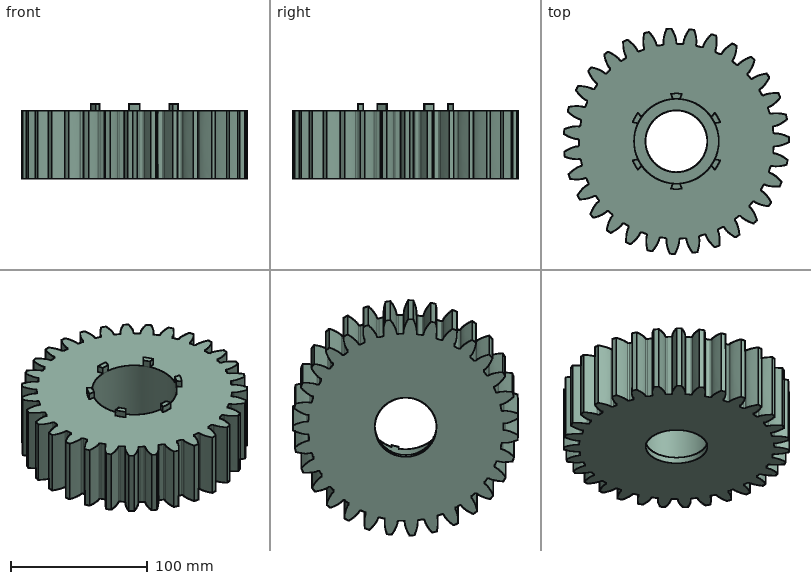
import cadquery as cq
import math


OVERALL_WIDTH = 165.0
TOOTH_COUNT = 31
PRESSURE_ANGLE = math.radians(20)
ADDENDUM = 1.0
DEDENDUM = 1.25
ROOT_FILLET = 1.0

FACE_WIDTH = 50.0
BORE_DIAMETER = 45.0
COUNTERBORE_DIAMETER = 62.0
FLOOR_THICKNESS = 5.0

LUG_COUNT = 6
LUG_HEIGHT = 5.0
LUG_OUTER_RADIUS = 35.0
LUG_OUTER_WIDTH = 7.9
LUG_SIDE_ANGLE = math.radians(20)

FLANK_STEPS = 6


def involute(angle):
    return math.tan(angle) - angle


TOOTH_PITCH = 2 * math.pi / TOOTH_COUNT
BASE_HALF_ANGLE = TOOTH_PITCH / 4 + involute(PRESSURE_ANGLE)
TIP_PRESSURE_ANGLE = math.acos(
    TOOTH_COUNT * math.cos(PRESSURE_ANGLE) / (TOOTH_COUNT + 2 * ADDENDUM)
)
TIP_HALF_ANGLE = BASE_HALF_ANGLE - involute(TIP_PRESSURE_ANGLE)

TOOTH_ANGLES = [involute(PRESSURE_ANGLE) + i * TOOTH_PITCH for i in range(TOOTH_COUNT)]

corner_heights = [
    math.sin(angle + side * TIP_HALF_ANGLE) for angle in TOOTH_ANGLES for side in (-1, 1)
]
TIP_RADIUS = OVERALL_WIDTH / (max(corner_heights) - min(corner_heights))
MODULE = TIP_RADIUS / (TOOTH_COUNT / 2 + ADDENDUM)
PITCH_RADIUS = MODULE * TOOTH_COUNT / 2
BASE_RADIUS = PITCH_RADIUS * math.cos(PRESSURE_ANGLE)
ROOT_RADIUS = PITCH_RADIUS - DEDENDUM * MODULE


def polar(radius, angle):
    return (radius * math.cos(angle), radius * math.sin(angle))


def flank_points(tooth_angle, side):
    """Points along one involute flank, from the base circle out to the tip.

    Radii are spaced quadratically because the involute bends most sharply at its base.
    """
    points = []
    for step in range(FLANK_STEPS + 1):
        radius = BASE_RADIUS + (TIP_RADIUS - BASE_RADIUS) * (step / FLANK_STEPS) ** 2
        half_angle = BASE_HALF_ANGLE - involute(math.acos(BASE_RADIUS / radius))
        points.append(polar(radius, tooth_angle + side * half_angle))
    return points


def make_toothed_body():
    outline = cq.Workplane("XY").moveTo(*polar(ROOT_RADIUS, TOOTH_ANGLES[0] - BASE_HALF_ANGLE))
    for angle in TOOTH_ANGLES:
        rising = flank_points(angle, -1)
        falling = flank_points(angle, 1)[::-1]
        outline = (
            outline.lineTo(*rising[0])
            .spline(rising[1:], includeCurrent=True)
            .threePointArc(polar(TIP_RADIUS, angle), falling[0])
            .spline(falling[1:], includeCurrent=True)
            .lineTo(*polar(ROOT_RADIUS, angle + BASE_HALF_ANGLE))
            .threePointArc(
                polar(ROOT_RADIUS, angle + TOOTH_PITCH / 2),
                polar(ROOT_RADIUS, angle + TOOTH_PITCH - BASE_HALF_ANGLE),
            )
        )
    blank = outline.close().extrude(FACE_WIDTH)
    return fillet_tooth_roots(blank)


def fillet_tooth_roots(blank):
    """Round the upright edges where the teeth meet the root circle."""
    halfway_to_base = (ROOT_RADIUS + BASE_RADIUS) / 2
    root_edges = [
        edge
        for edge in blank.edges("|Z").vals()
        if math.hypot(edge.Center().x, edge.Center().y) < halfway_to_base
    ]
    return blank.newObject(root_edges).fillet(ROOT_FILLET)


def cut_stepped_bore(body):
    bore = cq.Workplane("XY").circle(BORE_DIAMETER / 2).extrude(FACE_WIDTH)
    counterbore = (
        cq.Workplane("XY")
        .workplane(offset=FLOOR_THICKNESS)
        .circle(COUNTERBORE_DIAMETER / 2)
        .extrude(FACE_WIDTH - FLOOR_THICKNESS)
    )
    return body.cut(bore).cut(counterbore)


def make_lug():
    """Lug on the +Y side: narrow at the counterbore wall, wide at its outer arc."""
    inner_radius = COUNTERBORE_DIAMETER / 2
    outer_half = LUG_OUTER_WIDTH / 2
    outer_y = math.sqrt(LUG_OUTER_RADIUS**2 - outer_half**2)
    inner_half = outer_half - (outer_y - inner_radius) * math.tan(LUG_SIDE_ANGLE)
    inner_y = math.sqrt(inner_radius**2 - inner_half**2)
    return (
        cq.Workplane("XY")
        .workplane(offset=FACE_WIDTH)
        .moveTo(-inner_half, inner_y)
        .lineTo(-outer_half, outer_y)
        .threePointArc((0, LUG_OUTER_RADIUS), (outer_half, outer_y))
        .lineTo(inner_half, inner_y)
        .threePointArc((0, inner_radius), (-inner_half, inner_y))
        .close()
        .extrude(LUG_HEIGHT)
    )


result = cut_stepped_bore(make_toothed_body())
for i in range(LUG_COUNT):
    lug = make_lug().rotate((0, 0, 0), (0, 0, 1), i * 360 / LUG_COUNT)
    result = result.union(lug)